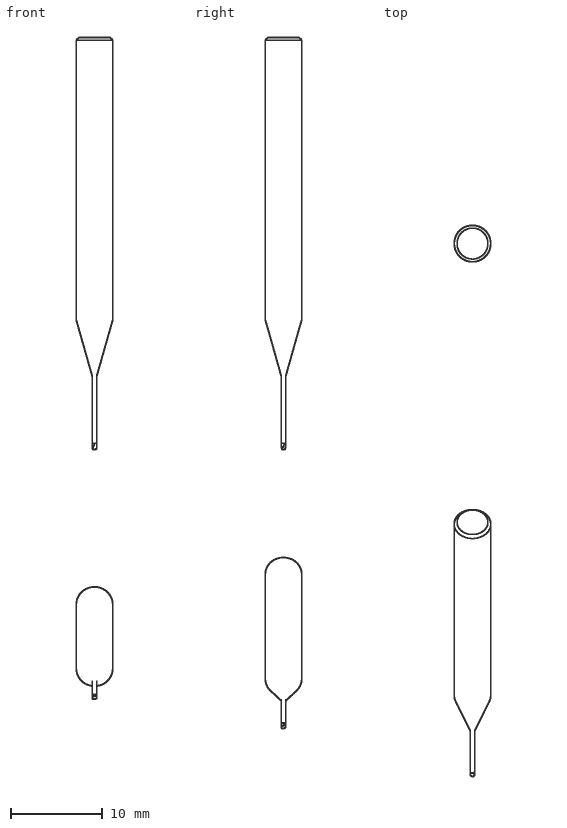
import cadquery as cq
import math

total_length = 45.0
shank_radius = 4.0 / 2
shank_chamfer = 0.3
cone_top_z = 14.18
cone_bottom_z = 8.0
neck_radius = 0.248
head_radius = 0.25
head_length = 0.7
web_thickness = 0.3
web_width = 3 * head_radius
flute_twist = 60.0


def make_holder():
    """Chamfered shank, taper and slender neck, revolved as one solid."""
    return (
        cq.Workplane("XZ")
        .moveTo(0, head_length)
        .lineTo(neck_radius, head_length)
        .lineTo(neck_radius, cone_bottom_z)
        .lineTo(shank_radius, cone_top_z)
        .lineTo(shank_radius, total_length - shank_chamfer)
        .lineTo(shank_radius - shank_chamfer, total_length)
        .lineTo(0, total_length)
        .close()
        .revolve(360, (0, 0, 0), (0, 1, 0))
    )


def make_head_blank():
    """Round cutting head with a hemispherical nose."""
    nose_mid = head_radius * math.sqrt(0.5)
    return (
        cq.Workplane("XZ")
        .threePointArc((nose_mid, head_radius - nose_mid), (head_radius, head_radius))
        .lineTo(head_radius, head_length)
        .lineTo(0, head_length)
        .close()
        .revolve(360, (0, 0, 0), (0, 1, 0))
    )


def make_cutting_head():
    """Ball-nosed head whose two helical flutes leave a twisted web."""
    twisted_web = (
        cq.Workplane("XY")
        .rect(web_width, web_thickness)
        .twistExtrude(head_length, flute_twist)
    )
    return make_head_blank().intersect(twisted_web)


holder = make_holder()
cutting_head = make_cutting_head()

result = cq.Compound.makeCompound([holder.val(), cutting_head.val()])